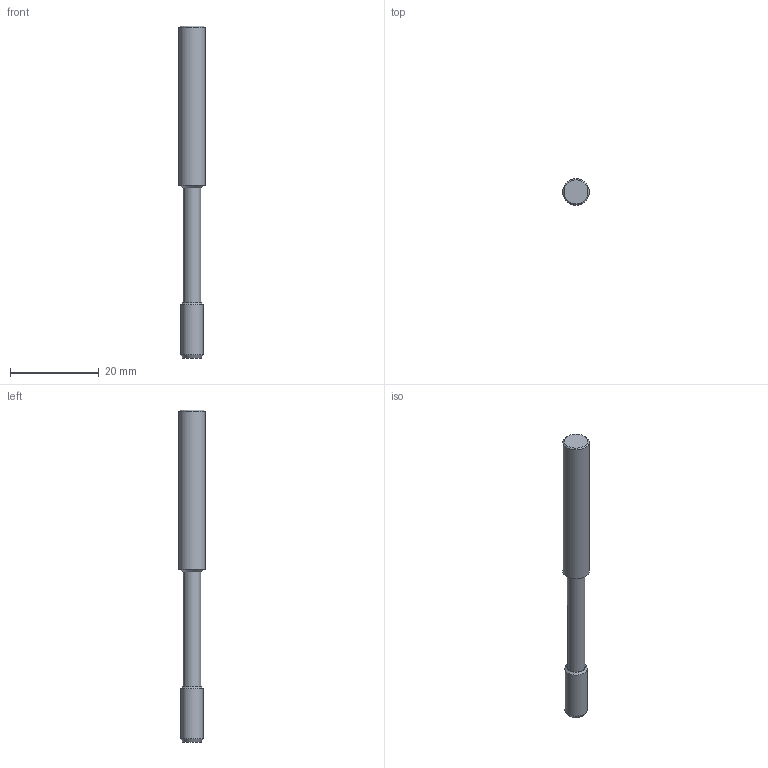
import cadquery as cq
import math

total_length = 75.0

shank_diameter = 6.0
shank_length = 36.0
shank_chamfer = 0.3
shoulder_height = 0.54
neck_diameter = 3.9

head_diameter = 5.0
head_length = 12.5
head_top_chamfer = 0.42
lead_in_width = 0.4
lead_in_angle = math.radians(30)

shank_radius = shank_diameter / 2
neck_radius = neck_diameter / 2
head_radius = head_diameter / 2

shank_bottom = total_length - shank_length
lead_in_height = lead_in_width / math.tan(lead_in_angle)


def revolve_profile(points):
    """Revolve a closed (radius, height) outline around the Z axis."""
    return cq.Workplane("XZ").polyline(points).close().revolve(360, (0, 0), (0, 1))


def make_shank():
    """Chamfered shank with a conical shoulder down to the neck, which stands on the head."""
    return revolve_profile([
        (0, head_length),
        (neck_radius, head_length),
        (neck_radius, shank_bottom - shoulder_height),
        (shank_radius, shank_bottom),
        (shank_radius, total_length - shank_chamfer),
        (shank_radius - shank_chamfer, total_length),
        (0, total_length),
    ])


def make_head():
    """Cylindrical head with a 45 degree chamfer on top and a steeper lead-in below."""
    return revolve_profile([
        (0, 0),
        (head_radius - lead_in_width, 0),
        (head_radius, lead_in_height),
        (head_radius, head_length - head_top_chamfer),
        (head_radius - head_top_chamfer, head_length),
        (0, head_length),
    ])


shank = make_shank()
head = make_head()

result = cq.Compound.makeCompound([shank.val(), head.val()])